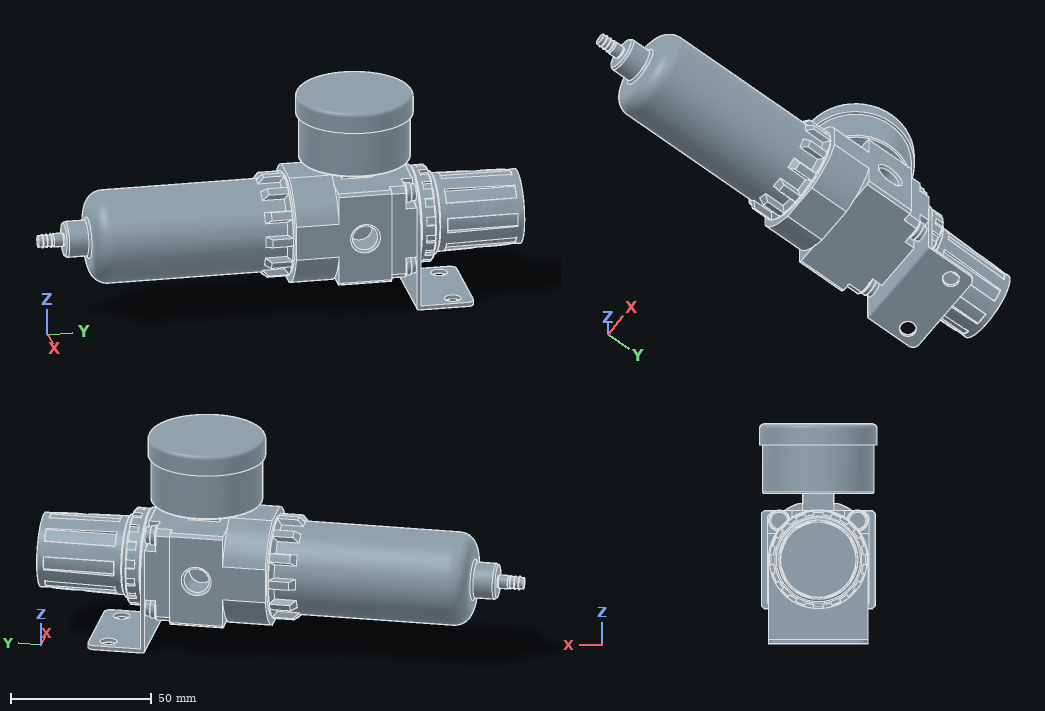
import cadquery as cq
import math


knob_end = 59.4
overall_length = 174.6
drain_end = knob_end - overall_length
overall_height = 78.5
gauge_top = 48.5
bracket_bottom = gauge_top - overall_height

body_height = 35.1
port_block_width = 40.7
port_block_back = 9.6
port_block_front = -9.6
port_block_chamfer = 1.0
rear_block_width = 36.3
rear_block_back = 19.2
rear_block_chamfer = 2.1
collar_front = -25.1
collar_radius = 21.3
collar_flat_height = 40.2

screw_offset = 14.0
screw_head_diameter = 7.0
screw_head_back = 17.5
screw_flange_diameter = 7.5
screw_flange_thickness = 0.5
screw_end_diameter = 6.0
notch_start = 9.5
notch_floor = 15.2

port_diameter = 9.0
port_depth = 10.5
port_chamfer = 0.9

gauge_bezel_diameter = 42.0
gauge_bezel_bottom = 40.9
gauge_bezel_fillet = 1.7
gauge_case_diameter = 40.0
gauge_case_bottom = 23.5
gauge_case_chamfer = 0.5
gauge_stem_width = 11.2

bracket_thickness = 1.5
bracket_width = 35.6
bracket_foot_back = 40.3
bracket_corner_radius = 2.6
bracket_bend_radius = 0.9
bracket_hole_diameter = 6.0
bracket_hole_x = 12.5
bracket_hole_y = 33.3

nut_radius = 17.5
nut_back = 26.5
nut_front = 21.3
nut_neck_radius = 16.8
nut_chamfer = 0.5
nut_slot_count = 16
nut_slot_width = 3.1
nut_slot_depth = 1.4
nut_slot_length = 3.5

knob_tip_radius = 13.5
knob_base_radius = 14.1
knob_taper_front = 30.0
knob_front = 28.6
skirt_bevel_length = 0.5
skirt_back_radius = 15.0
skirt_front_radius = 15.5
knob_groove_count = 8
knob_groove_floor_radius = 13.1
knob_groove_floor_width = 4.5
knob_groove_wall_angle = 30.0
knob_groove_back = 57.0
knob_groove_front = 31.3

bowl_radius = 16.8
bowl_front = -97.0
bowl_fillet = 6.3
ring_gap = 0.7
ring_gap_radius = 18.2
ring_radius = 18.9
ring_slope_length = 1.7
ring_front = -35.5
ring_bevel = ring_radius - bowl_radius
rib_count = 12
rib_tip_width = 3.0
rib_root_width = 4.0

drain_radius = 6.5
drain_root_radius = 7.5
drain_root_length = 0.9
drain_front = -105.8
drain_chamfer_radial = 0.5
drain_chamfer_length = 0.9
nipple_radius = 2.5
nipple_groove_radius = 2.1
nipple_shoulder_back = -106.3
nipple_shoulder_front = -109.6
nipple_ridge_width = 0.2
nipple_ridge_pitch = 1.5
nipple_ridge_count = 3


def box(x_range, y_range, z_range):
    """Box between the given limits."""
    size = [high - low for low, high in (x_range, y_range, z_range)]
    corner = cq.Vector(x_range[0], y_range[0], z_range[0])
    return cq.Workplane(cq.Solid.makeBox(*size, corner))


def y_plane(y):
    """Sketch plane at the given Y with +X right, +Z up and its normal along -Y."""
    return cq.Workplane("XZ", origin=(0, y, 0))


def turned(profile):
    """Revolve (radius, y) points, closed along the main axis, about that axis."""
    return cq.Workplane("XY").polyline(profile).close().revolve(360, (0, 0, 0), (0, 1, 0))


def around_axis(shape, count, first_angle=0.0):
    """Copies of a shape evenly spaced about the main axis."""
    copies = cq.Workplane("XY")
    for i in range(count):
        angle = first_angle + 360.0 * i / count
        copies = copies.add(shape.rotate((0, 0, 0), (0, 1, 0), angle).vals())
    return copies.combine()


def make_body():
    port_block = (
        y_plane(port_block_back)
        .rect(port_block_width, body_height)
        .extrude(port_block_back - port_block_front)
        .edges("|Y")
        .chamfer(port_block_chamfer)
    )
    rear_block = (
        y_plane(rear_block_back)
        .rect(rear_block_width, body_height)
        .extrude(rear_block_back)
        .edges("|Y")
        .chamfer(rear_block_chamfer)
    )
    collar_length = port_block_front - collar_front
    collar_flats = y_plane(port_block_front).rect(port_block_width, collar_flat_height).extrude(collar_length)
    collar = y_plane(port_block_front).circle(collar_radius).extrude(collar_length).intersect(collar_flats)

    corners = [(x, z) for x in (-screw_offset, screw_offset) for z in (-screw_offset, screw_offset)]
    notch_size = 2 * (screw_offset - notch_start)
    notches = (
        y_plane(rear_block_back)
        .pushPoints(corners)
        .rect(notch_size, notch_size)
        .extrude(rear_block_back - notch_floor)
    )
    screw_ends = (
        y_plane(rear_block_back)
        .pushPoints(corners)
        .circle(screw_end_diameter / 2)
        .extrude(rear_block_back - notch_floor)
    )
    screw_heads = (
        y_plane(screw_head_back)
        .pushPoints(corners)
        .circle(screw_head_diameter / 2)
        .extrude(screw_head_back - notch_floor)
    )
    screw_flanges = (
        y_plane(notch_floor + screw_flange_thickness)
        .pushPoints(corners)
        .circle(screw_flange_diameter / 2)
        .extrude(screw_flange_thickness)
    )
    rear_block = rear_block.cut(notches).union(screw_ends).union(screw_heads).union(screw_flanges)
    return port_block.union(rear_block).union(collar)


def make_port():
    """Chamfered blind port on the -X side."""
    face = cq.Workplane("YZ", origin=(-port_block_width / 2, 0, 0))
    bore = face.circle(port_diameter / 2).extrude(port_depth)
    mouth = face.circle(port_diameter / 2 + port_chamfer).extrude(port_chamfer, taper=45)
    return bore.union(mouth)


def make_gauge():
    stem = box(
        (-gauge_stem_width / 2, gauge_stem_width / 2),
        (-gauge_stem_width / 2, gauge_stem_width / 2),
        (0, gauge_case_bottom),
    )
    case = (
        cq.Workplane("XY", origin=(0, 0, gauge_case_bottom))
        .circle(gauge_case_diameter / 2)
        .extrude(gauge_bezel_bottom - gauge_case_bottom)
        .faces("<Z")
        .chamfer(gauge_case_chamfer)
    )
    bezel = (
        cq.Workplane("XY", origin=(0, 0, gauge_bezel_bottom))
        .circle(gauge_bezel_diameter / 2)
        .extrude(gauge_top - gauge_bezel_bottom)
        .faces(">Z")
        .edges()
        .fillet(gauge_bezel_fillet)
    )
    return case.union(bezel).union(stem)


def make_bracket():
    half_width = bracket_width / 2
    plate_back = rear_block_back + bracket_thickness
    plate = (
        y_plane(plate_back)
        .moveTo(-half_width, bracket_bottom)
        .lineTo(half_width, bracket_bottom)
        .lineTo(half_width, 0)
        .threePointArc((0, half_width), (-half_width, 0))
        .close()
        .extrude(bracket_thickness)
    )
    foot = (
        box(
            (-half_width, half_width),
            (rear_block_back, bracket_foot_back),
            (bracket_bottom, bracket_bottom + bracket_thickness),
        )
        .edges("|Z and >Y")
        .fillet(bracket_corner_radius)
    )
    holes = (
        cq.Workplane("XY", origin=(0, 0, bracket_bottom))
        .pushPoints([(-bracket_hole_x, bracket_hole_y), (bracket_hole_x, bracket_hole_y)])
        .circle(bracket_hole_diameter / 2)
        .extrude(bracket_thickness)
    )
    bracket = plate.union(foot.cut(holes))
    return bracket.edges("|X and <Y and <Z").fillet(bracket_bend_radius)


def make_nut():
    nut = (
        y_plane(nut_back)
        .circle(nut_radius)
        .extrude(nut_back - nut_front)
        .faces(">Y")
        .chamfer(nut_chamfer)
    )
    slot = box(
        (-nut_slot_width / 2, nut_slot_width / 2),
        (nut_back - nut_slot_length, nut_back),
        (nut_radius - nut_slot_depth, nut_radius + nut_slot_depth),
    )
    half_pitch = 180.0 / nut_slot_count
    neck = y_plane(nut_front).circle(nut_neck_radius).extrude(nut_front - rear_block_back)
    return nut.cut(around_axis(slot, nut_slot_count, half_pitch)).union(neck)


def make_knob():
    knob = turned([
        (0, knob_end),
        (knob_tip_radius, knob_end),
        (knob_base_radius, knob_taper_front),
        (knob_base_radius, knob_front),
        (skirt_back_radius, knob_front - skirt_bevel_length),
        (skirt_front_radius, nut_back),
        (0, nut_back),
    ])
    half_floor = knob_groove_floor_width / 2
    floor_edge = math.sqrt(knob_groove_floor_radius**2 - half_floor**2)
    wall_lean = math.tan(math.radians(knob_groove_wall_angle))
    half_mouth = half_floor + (skirt_front_radius - floor_edge) * wall_lean
    groove = (
        y_plane(knob_groove_back)
        .moveTo(-half_floor, floor_edge)
        .threePointArc((0, knob_groove_floor_radius), (half_floor, floor_edge))
        .lineTo(half_mouth, skirt_front_radius)
        .lineTo(-half_mouth, skirt_front_radius)
        .close()
        .extrude(knob_groove_back - knob_groove_front)
    )
    return knob.cut(around_axis(groove, knob_groove_count))


def make_bowl():
    bowl = (
        y_plane(collar_front)
        .circle(bowl_radius)
        .extrude(collar_front - bowl_front)
        .faces("<Y")
        .edges()
        .fillet(bowl_fillet)
    )
    ring_back = collar_front - ring_gap
    ring_base = turned([
        (0, collar_front),
        (ring_gap_radius, collar_front),
        (ring_gap_radius, ring_back),
        (ring_radius, ring_back),
        (bowl_radius, ring_back - ring_slope_length),
        (0, ring_back - ring_slope_length),
    ])
    rib_envelope = turned([
        (0, ring_back),
        (ring_radius, ring_back),
        (ring_radius, ring_front + ring_bevel),
        (bowl_radius, ring_front),
        (0, ring_front),
    ])
    rib = (
        y_plane(ring_back)
        .moveTo(-rib_root_width / 2, 0)
        .lineTo(-rib_root_width / 2, bowl_radius)
        .lineTo(-rib_tip_width / 2, ring_radius)
        .lineTo(rib_tip_width / 2, ring_radius)
        .lineTo(rib_root_width / 2, bowl_radius)
        .lineTo(rib_root_width / 2, 0)
        .close()
        .extrude(ring_back - ring_front)
    )
    ribs = around_axis(rib, rib_count).intersect(rib_envelope)
    return bowl.union(ring_base).union(ribs)


def make_drain():
    drain = turned([
        (0, bowl_front),
        (drain_root_radius, bowl_front),
        (drain_radius, bowl_front - drain_root_length),
        (drain_radius, drain_front + drain_chamfer_length),
        (drain_radius - drain_chamfer_radial, drain_front),
        (0, drain_front),
    ])
    shoulder_length = nipple_shoulder_back - nipple_shoulder_front
    shoulder = y_plane(nipple_shoulder_back).circle(nipple_radius).extrude(shoulder_length)
    core = y_plane(drain_front).circle(nipple_groove_radius).extrude(drain_front - drain_end)
    nipple = core.union(shoulder)
    for i in range(nipple_ridge_count):
        ridge_back = nipple_shoulder_front - nipple_ridge_pitch * (i + 0.5)
        nipple = nipple.union(y_plane(ridge_back).circle(nipple_radius).extrude(nipple_ridge_width))
    return drain.union(nipple)


port = make_port()
body = make_body().cut(port).cut(port.mirror("YZ"))
result = (
    body.union(make_gauge())
    .union(make_bracket())
    .union(make_nut())
    .union(make_knob())
    .union(make_bowl())
    .union(make_drain())
)